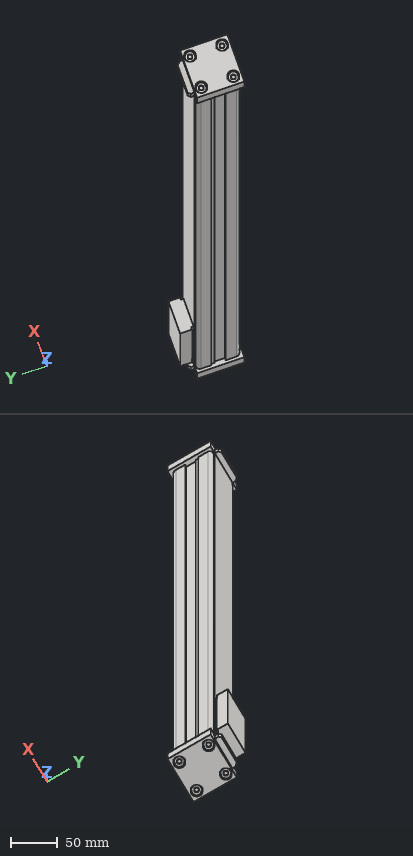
import cadquery as cq

length = 1350.0
cap_width = 55.0
cap_depth = 54.0
cap_height = 27.0
overall_depth = 70.0

barrel_width = 49.0
barrel_front = 3.0
shoulder_y = 53.0
front_corner_radius = 5.7
shoulder_radius = 4.0
rail_width = 38.0

groove_front = 20.0
groove_back = 32.0
groove_depth = 3.0
ledge_back = 36.0
ledge_depth = 1.0

lug_width = 38.0
lug_depth = 7.0
lug_set_back = 10.0
lug_slope = 4.0
lug_bevel = 3.0

screw_inset = 10.0
counterbore_diameter = 13.0
counterbore_depth = 8.0
head_diameter = 11.5
head_height = 5.0
socket_diameter = 5.3
socket_depth = 3.0

carriage_width = 38.0
carriage_length = 158.0
carriage_bottom = 47.0
carriage_underside_y = 57.0
neck_width = 32.0


def box(width, y_start, y_end, z_start, z_end):
    """Block centred on X between the given Y and Z limits."""
    return (
        cq.Workplane("XY")
        .box(width, y_end - y_start, z_end - z_start, centered=(True, False, False))
        .translate((0, y_start, z_start))
    )


def cut_side_strips(barrel, y_start, y_end, depth):
    """Cut a full-length strip of the given depth into both sides of the barrel."""
    for side in (-1, 1):
        strip = box(2 * depth, y_start, y_end, 0, length).translate((side * barrel_width / 2, 0, 0))
        barrel = barrel.cut(strip)
    return barrel


def make_barrel():
    bottom = cap_height
    top = length - cap_height
    barrel = box(barrel_width, barrel_front, shoulder_y, bottom, top)
    barrel = barrel.faces("<Y").edges("|Z").fillet(front_corner_radius)
    barrel = barrel.faces(">Y").edges("|Z").fillet(shoulder_radius)
    barrel = barrel.union(box(rail_width, shoulder_y, cap_depth, bottom, top))
    barrel = cut_side_strips(barrel, groove_front, groove_back, groove_depth)
    return cut_side_strips(barrel, groove_back, ledge_back, ledge_depth)


def screw_rods(diameter, z_start, height):
    """One upright cylinder at each of the four screw places."""
    pitch = cap_width - 2 * screw_inset
    return (
        cq.Workplane("XY", origin=(0, screw_inset + pitch / 2, z_start))
        .rarray(pitch, pitch, 2, 2)
        .circle(diameter / 2)
        .extrude(height)
    )


def add_screws(cap):
    seat_z = length - counterbore_depth
    socket_z = seat_z + head_height - socket_depth
    cap = cap.cut(screw_rods(counterbore_diameter, seat_z, counterbore_depth))
    cap = cap.union(screw_rods(head_diameter, seat_z, head_height))
    return cap.cut(screw_rods(socket_diameter, socket_z, socket_depth))


def make_top_cap():
    bottom = length - cap_height
    cap = box(cap_width, 0, cap_depth, bottom, length)

    lug_top = length - lug_set_back
    lug_face = cap_depth + lug_depth
    lug = (
        cq.Workplane("YZ")
        .polyline([
            (cap_depth, bottom),
            (lug_face, bottom),
            (lug_face, lug_top - lug_slope),
            (cap_depth, lug_top),
        ])
        .close()
        .extrude(lug_width / 2, both=True)
    )
    lug = lug.faces(">Y").edges("|Z").chamfer(lug_bevel)
    cap = cap.union(lug)
    return add_screws(cap)


def make_cylinder():
    top_cap = make_top_cap()
    bottom_cap = top_cap.mirror("XY", (0, 0, length / 2))
    return make_barrel().union(top_cap).union(bottom_cap)


def make_carriage():
    carriage_top = carriage_bottom + carriage_length
    plate = box(carriage_width, carriage_underside_y, overall_depth, carriage_bottom, carriage_top)
    neck = box(neck_width, cap_depth, carriage_underside_y, carriage_bottom, carriage_top)
    return plate.union(neck)


cylinder = make_cylinder()
carriage = make_carriage()

result = cq.Compound.makeCompound([cylinder.val(), carriage.val()])